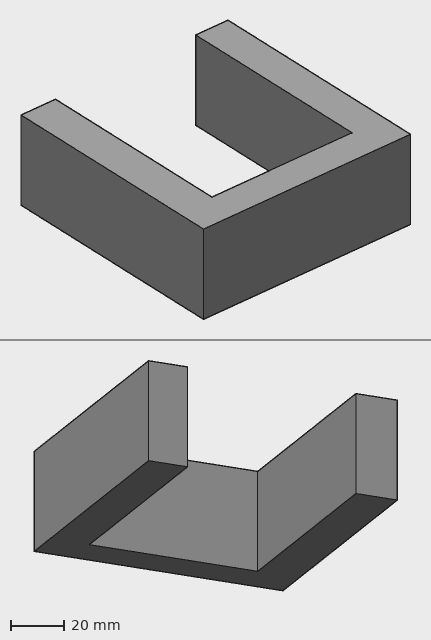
import cadquery as cq

length = 105.0
width = 102.0
height = 40.0

front_arm = 17.0
rear_arm = 16.0
web = 15.0

slot_length = length - web
slot_width = width - front_arm - rear_arm

block = cq.Workplane("XY").box(length, width, height, centered=False)
slot = (
    cq.Workplane("XY")
    .box(slot_length, slot_width, height, centered=False)
    .translate((0, front_arm, 0))
)

result = block.cut(slot)